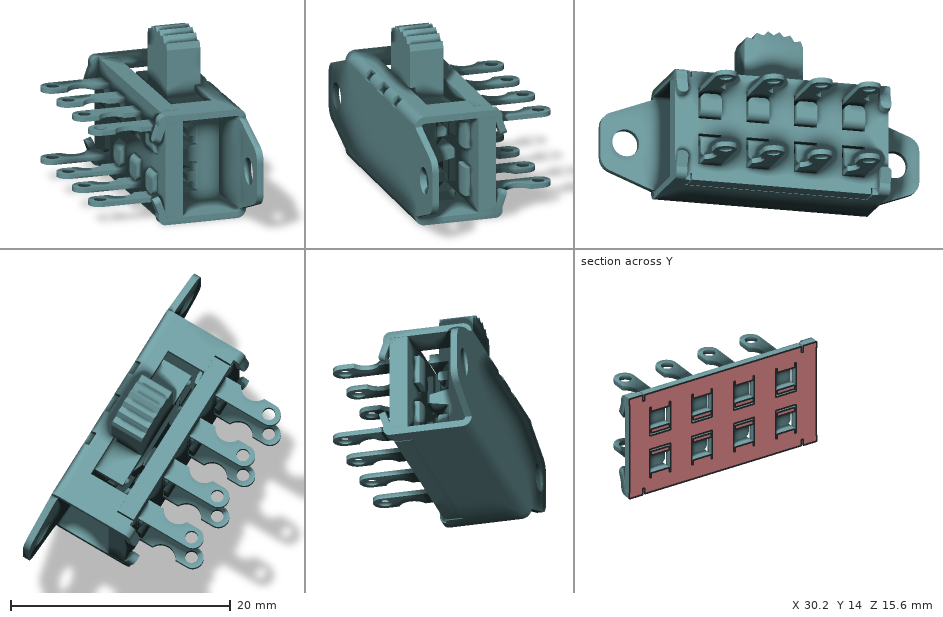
import cadquery as cq
import math


sheet = 0.63
body_length = 20.3
body_height = 10.4
wall_depth = 7.75
back_bend = 0.9
front_bend = sheet
half_inside = body_height / 2 - sheet

plate_length = 30.23
plate_end_height = 4.8
plate_corner = 1.4
mount_hole = 2.55
mount_pitch = 25.45
plate_edge = body_height / 2 - back_bend
side_notch_width = 1.35
side_notch_place = 3.9
center_notch_width = 1.9
scoop_width = 1.63
scoop_rise = 0.27
scoop_drop = 0.15

window_length = 13.6
window_start = 2.18
base_start = 6.08
base_notch = 17.3

tab_width = 1.03
tab_knee = 4.2
tab_lean = 20.0
tab_reach = 1.5
tab_round = 0.48

base_length = 20.25
base_front = 7.77
base_lip_length = 17.0
base_lip_height = 10.35

terminal_pitch = 4.53
terminal_width = 2.0
terminal_top = 3.63
terminal_thick = 0.45
terminal_end = 14.03
terminal_hole = 1.18
hole_depth = 12.9
waist_radius = 1.35
waist_bite = 0.75
waist_depth = 10.58
slot_width = 2.18
slot_bottom = 0.73
tongue_front = 8.22
tongue_top = 3.0
tongue_bottom = 0.95
tongue_round = 0.5
tongue_bend = 0.63
head_back = 5.6
head_crown = 0.15

slider_length = 12.1
slider_height = 8.9
slider_back = 1.25
slider_front = 5.15
channel_floor = 3.35
channel_top = 3.6
rib_root = 0.8
rib_tip = 0.42
bump_radius = 0.287
bump_place = 5.45
bump_height = 4.0
pad_back = 1.25
pad_front = 4.4
pad_slope = 1.2

bow_length = 21.52
bow_crest = 3.02

knob_back = 1.93
neck_back = 2.48
neck_top = 5.53
knob_half_teeth = [(2.78, 9.05), (2.57, 9.6), (1.95, 9.5), (1.57, 10.1), (0.97, 9.9), (0.55, 10.35)]
knob_center_valley = 9.98

contact_height = 2.42
contact_middle = 2.18
contact_thick = 0.3
contact_crest = 5.47
crest_half = 3.3
contact_knee = 4.02
contact_bend = 4.7
contact_foot = 6.2
contact_hole = 1.6
peg_height = 0.9
peg_length = 1.33
peg_front = 4.35
peg_chamfer = 0.18
peg_hole_place = 5.08


def block(length, back, front, bottom, top, middle=0.0):
    """Box centered on X = middle, between two depths and two heights."""
    return (
        cq.Workplane("XY")
        .box(length, front - back, top - bottom, centered=(True, False, False))
        .translate((middle, -front, bottom))
    )


def at_depth(depth):
    """X-Z sketch plane at a given depth; extruding goes toward the terminals."""
    return cq.Workplane("XZ", origin=(0, -depth, 0))


def side_outline(points):
    """Closed Y-Z outline from (depth, height) corners."""
    return cq.Workplane("YZ").polyline([(-depth, height) for depth, height in points]).close()


def mirrored(shape, plane):
    return shape.union(shape.mirror(plane))


def plate_blank(thick):
    """Plain plate outline: a long hexagon with rounded outer corners."""
    half_end = plate_end_height / 2
    corners = [
        (plate_length / 2, half_end),
        (body_length / 2, plate_edge),
        (-body_length / 2, plate_edge),
        (-plate_length / 2, half_end),
        (-plate_length / 2, -half_end),
        (-body_length / 2, -plate_edge),
        (body_length / 2, -plate_edge),
        (plate_length / 2, -half_end),
    ]
    blank = at_depth(0).polyline(corners).close().extrude(thick)
    return blank.edges("|Y and (<X or >X)").fillet(plate_corner)


def make_plate():
    """Mounting plate with its two screw holes."""
    holes = at_depth(0).pushPoints([(-mount_pitch / 2, 0), (mount_pitch / 2, 0)])
    return plate_blank(sheet).cut(holes.circle(mount_hole / 2).extrude(sheet))


def make_tab():
    """Upper right tab: quarter-round bend, then a rounded tongue leaning outward."""
    lean = math.radians(tab_lean)
    outer = wall_depth + front_bend
    across = (sheet * math.cos(lean), sheet * math.sin(lean))
    tip = (outer + tab_reach * math.sin(lean), tab_knee - tab_reach * math.cos(lean))
    mid_bend = front_bend * math.sqrt(0.5)
    tab = (
        cq.Workplane("YZ", origin=(body_length / 2 - tab_width, 0, 0))
        .moveTo(-wall_depth, body_height / 2)
        .threePointArc((-wall_depth - mid_bend, half_inside + mid_bend), (-outer, half_inside))
        .lineTo(-outer, tab_knee)
        .lineTo(-tip[0], tip[1])
        .lineTo(-tip[0] + across[0], tip[1] - across[1])
        .lineTo(-outer + across[0], tab_knee - across[1])
        .lineTo(-wall_depth, tab_knee)
        .close()
        .extrude(tab_width)
    )
    thickness = cq.Vector(0, -across[0], across[1])
    return tab.edges(cq.selectors.ParallelDirSelector(thickness)).fillet(tab_round)


def make_shell():
    """Folded sheet channel with the plate, knob window, notches and tabs."""
    channel = block(body_length, 0, wall_depth, -body_height / 2, body_height / 2)
    channel = channel.edges("|X and >Y").fillet(back_bend)
    inside = block(body_length, sheet, wall_depth, -half_inside, half_inside)
    inside = inside.edges("|X and >Y").fillet(back_bend - sheet)
    shell = channel.cut(inside).union(make_plate())

    top = body_height / 2
    shell = shell.cut(block(window_length, window_start, base_start, half_inside, top))
    shell = shell.cut(block(base_notch, base_start, wall_depth, -top, top))

    for middle, width in (
        (-side_notch_place, side_notch_width),
        (0, center_notch_width),
        (side_notch_place, side_notch_width),
    ):
        shell = shell.cut(block(width, 0, sheet, plate_edge, top, middle))
    scoop_radius = (scoop_width**2 / 4 + scoop_rise**2) / (2 * scoop_rise)
    scoop = (
        cq.Workplane("XY", origin=(0, scoop_rise - sheet - scoop_radius, plate_edge - scoop_drop))
        .circle(scoop_radius)
        .extrude(scoop_drop)
    )
    shell = shell.cut(scoop)
    return shell.union(mirrored(mirrored(make_tab(), "YZ"), "XY"))


def make_base():
    """Insulating block closing the front, with lips filling the shell notches."""
    base = block(base_length, base_start, base_front, -half_inside, half_inside)
    lip = block(base_lip_length, base_start, base_front, -base_lip_height / 2, base_lip_height / 2)
    return base.union(lip)


def make_terminal():
    """Upper terminal at X = 0: spade, contact head, lower leg and front tongue."""
    spade_bottom = terminal_top - terminal_thick
    half_width = terminal_width / 2
    tip_center = terminal_end - half_width
    spade = block(terminal_width, head_back, tip_center, spade_bottom, terminal_top)
    tip = cq.Workplane("XY", origin=(0, -tip_center, spade_bottom)).circle(half_width)
    hole = cq.Workplane("XY", origin=(0, -hole_depth, spade_bottom)).circle(terminal_hole / 2)
    waist_center = (half_width - waist_bite + waist_radius, -waist_depth, spade_bottom)
    waist = cq.Workplane("XY", origin=waist_center).circle(waist_radius)
    spade = spade.union(tip.extrude(terminal_thick))
    spade = spade.cut(hole.extrude(terminal_thick)).cut(waist.extrude(terminal_thick))

    head = (
        cq.Workplane("XY", origin=(0, 0, tongue_bottom))
        .moveTo(-half_width, -base_start)
        .lineTo(-half_width, -head_back)
        .threePointArc((0, head_crown - head_back), (half_width, -head_back))
        .lineTo(half_width, -base_start)
        .close()
        .extrude(terminal_top - tongue_bottom)
    )

    leg = block(terminal_width, base_start, tongue_front, tongue_bottom, tongue_bottom + terminal_thick)
    tongue = block(terminal_width, base_front, tongue_front, tongue_bottom, tongue_top)
    tongue = tongue.edges("|Y and >Z").fillet(tongue_round)
    hook = leg.union(tongue).edges("|X and <Y and <Z").fillet(tongue_bend)
    return spade.union(head).union(hook)


def make_bow():
    """Shallow bowed leaf between the plate and the slider's back, trimmed to the plate's outline."""
    leaf = (
        cq.Workplane("XY", origin=(0, 0, -slider_height / 2))
        .polyline([
            (-bow_length / 2, -sheet),
            (bow_length / 2, -sheet),
            (bow_crest / 2, -slider_back),
            (-bow_crest / 2, -slider_back),
        ])
        .close()
        .extrude(slider_height)
    )
    return leaf.intersect(plate_blank(slider_back))


def make_slider():
    """E-shaped slider with two contact channels, a low pad underneath and four bumps."""
    half_height = slider_height / 2
    upper = [
        (slider_front, half_height),
        (slider_front, channel_top),
        (channel_floor, channel_top),
        (channel_floor, rib_root),
        (slider_front, rib_tip),
    ]
    lower = [(depth, -height) for depth, height in reversed(upper)]
    outline = [(slider_back, half_height)] + upper + lower + [(slider_back, -half_height)]
    slider = side_outline(outline).extrude(slider_length / 2, both=True)

    pad = (
        at_depth(pad_back)
        .polyline([
            (-slider_length / 2, -half_height),
            (slider_length / 2, -half_height),
            (slider_length / 2 - pad_slope, -half_inside),
            (pad_slope - slider_length / 2, -half_inside),
        ])
        .close()
        .extrude(pad_front - pad_back)
    )
    slider = slider.union(pad)

    for x in (-bump_place, bump_place):
        for z in (-bump_height, bump_height):
            slider = slider.union(cq.Workplane("XY").sphere(bump_radius).translate((x, -slider_front, z)))
    return slider


def make_knob():
    """Toothed knob, relieved at the back where it passes the window."""
    right = list(reversed(knob_half_teeth))
    left = [(-x, z) for x, z in knob_half_teeth]
    half_width = knob_half_teeth[0][0]
    bottom = slider_height / 2
    outline = left + [(0, knob_center_valley)] + right + [(half_width, bottom), (-half_width, bottom)]
    knob = at_depth(knob_back).polyline(outline).close().extrude(slider_front - knob_back)
    return knob.cut(block(2 * half_width, knob_back, neck_back, bottom, neck_top))


def make_moving_contact():
    """Upper bowed strip with a hole in each slope, located by a peg on the slider."""
    outer = [
        (contact_foot, channel_floor),
        (contact_knee, contact_bend),
        (contact_knee, slider_front),
        (crest_half, contact_crest),
    ]
    inner = [
        (crest_half, contact_crest - contact_thick),
        (contact_knee - contact_thick, slider_front - contact_thick),
        (contact_knee - contact_thick, contact_bend - contact_thick / 2),
        (contact_foot - 2 * contact_thick, channel_floor),
    ]
    right = [(x, -depth) for x, depth in outer]
    right_inner = [(x, -depth) for x, depth in inner]
    left = [(-x, y) for x, y in reversed(right)]
    left_inner = [(-x, y) for x, y in reversed(right_inner)]
    strip = (
        cq.Workplane("XY", origin=(0, 0, contact_middle - contact_height / 2))
        .polyline(right + left + left_inner + right_inner)
        .close()
        .extrude(contact_height)
    )
    places = [(-peg_hole_place, contact_middle), (peg_hole_place, contact_middle)]
    holes = at_depth(channel_floor).pushPoints(places).circle(contact_hole / 2)
    strip = strip.cut(holes.extrude(slider_front - channel_floor))

    peg_bottom = contact_middle - peg_height / 2
    peg_top = contact_middle + peg_height / 2
    peg_middle = (slider_length - peg_length) / 2
    peg = block(peg_length, channel_floor, peg_front, peg_bottom, peg_top, peg_middle)
    peg = peg.edges("|X and <Y").chamfer(peg_chamfer)
    return strip.union(mirrored(peg, "YZ"))


base = make_base()
terminals = cq.Workplane("XY")
upper_terminal = make_terminal()
lower_terminal = upper_terminal.rotate((0, 0, 0), (0, 1, 0), 180)
for i in range(4):
    x = (i - 1.5) * terminal_pitch
    slot = block(slot_width, base_start, base_front, slot_bottom, terminal_top, x)
    base = base.cut(slot).cut(slot.mirror("XY"))
    terminals = terminals.union(upper_terminal.translate((x, 0, 0)))
    terminals = terminals.union(lower_terminal.translate((x, 0, 0)))

result = (
    make_shell()
    .union(base)
    .union(terminals)
    .union(make_bow())
    .union(make_slider())
    .union(make_knob())
    .union(mirrored(make_moving_contact(), "XY"))
)